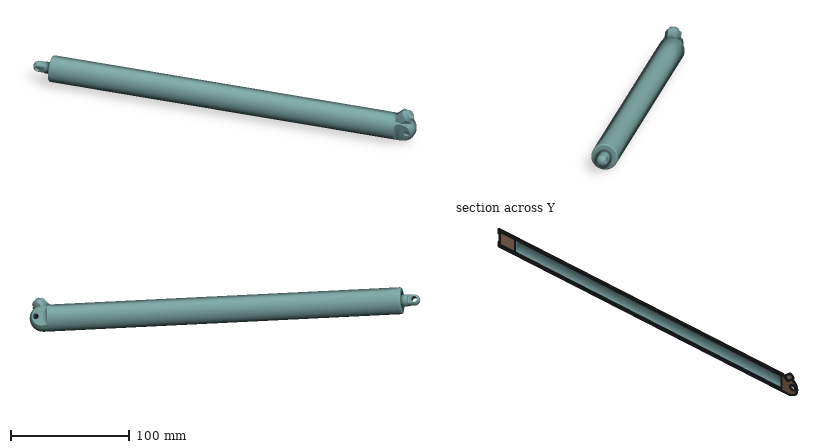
import cadquery as cq
import math

TOTAL_LENGTH = 336.0
BODY_DIAMETER = 23.0
BODY_RADIUS = BODY_DIAMETER / 2
GLAND_START = 15.5
TUBE_START = 17.5
TUBE_END = 317.2
TUBE_BORE = 18.0

GLAND_EDGE_RADIUS = 1.5
WIPER_DIAMETER = 18.0
WIPER_END = 16.8
WIPER_RECESS_DIAMETER = 14.0
WIPER_RECESS_DEPTH = 1.0
GLAND_END = 33.5

ROD_DIAMETER = 10.0
ROD_EYE_DIAMETER = 9.5
ROD_EYE_RADIUS = ROD_EYE_DIAMETER / 2
ROD_EYE_THICKNESS = 7.5
ROD_EYE_LENGTH = 10.5
CROSS_HOLE = 5.0

CAP_CENTRE_X = TOTAL_LENGTH - BODY_RADIUS
CAP_SHOULDER_X = 319.2
CAP_SHOULDER_FILLET = 2.5
CAP_EYE_THICKNESS = 15.8
CAP_HOLE_X = 329.5
CAP_SEAT_Z = 8.7

HEX_CORNERS = 14.0
HEX_LENGTH = 9.7
HEX_TOP_X = 329.0
HEX_TOP_Z = 13.0
NOSE_BASE_DIAMETER = 11.5
NOSE_TIP_DIAMETER = 8.0
NOSE_HEIGHT = 3.0


def x_cylinder(diameter, start, end):
    """Cylinder on the X axis between two stations."""
    return cq.Workplane("YZ", origin=(start, 0, 0)).circle(diameter / 2).extrude(end - start)


def y_cylinder(diameter, x):
    """Cross-hole cutter along Y, longer than the body is wide."""
    return cq.Workplane("XZ", origin=(x, 0, 0)).circle(diameter / 2).extrude(BODY_RADIUS, both=True)


def round_end(radius, centre_x, direction):
    """Hemisphere that ends a bar of the same radius, bulging along +X (1) or -X (-1)."""
    diagonal = radius * math.sqrt(0.5)
    return (
        cq.Workplane("XY", origin=(centre_x, 0, 0))
        .lineTo(direction * radius, 0)
        .threePointArc((direction * diagonal, diagonal), (0, radius))
        .close()
        .revolve(360, (0, 0), (1, 0))
    )


def make_tube():
    return x_cylinder(BODY_DIAMETER, TUBE_START, TUBE_END).cut(x_cylinder(TUBE_BORE, TUBE_START, TUBE_END))


def make_gland():
    """Flange over the tube end and a spigot in the tube bore, with a pocket for the wiper."""
    flange = x_cylinder(BODY_DIAMETER, GLAND_START, TUBE_START).faces("<X").edges().fillet(GLAND_EDGE_RADIUS)
    gland = flange.union(x_cylinder(TUBE_BORE, TUBE_START, GLAND_END))
    gland = gland.cut(x_cylinder(ROD_DIAMETER, GLAND_START, GLAND_END))
    return gland.cut(x_cylinder(WIPER_DIAMETER, GLAND_START, WIPER_END))


def make_wiper():
    """Ring flush with the gland face, slightly recessed around the rod."""
    wiper = x_cylinder(WIPER_DIAMETER, GLAND_START, WIPER_END)
    wiper = wiper.cut(x_cylinder(ROD_DIAMETER, GLAND_START, WIPER_END))
    return wiper.cut(x_cylinder(WIPER_RECESS_DIAMETER, GLAND_START, GLAND_START + WIPER_RECESS_DEPTH))


def make_rod():
    eye = x_cylinder(ROD_EYE_DIAMETER, ROD_EYE_RADIUS, ROD_EYE_LENGTH)
    eye = eye.union(round_end(ROD_EYE_RADIUS, ROD_EYE_RADIUS, -1))
    flats = cq.Workplane("XY").box(2 * ROD_EYE_LENGTH, ROD_EYE_THICKNESS, ROD_EYE_DIAMETER)
    eye = eye.intersect(flats).cut(y_cylinder(CROSS_HOLE, ROD_EYE_RADIUS))
    return eye.union(x_cylinder(ROD_DIAMETER, ROD_EYE_LENGTH, TUBE_END))


def make_fitting():
    """Hexagonal prism with a conical nose; two of its corners point along Y."""
    top = cq.Plane(origin=(HEX_TOP_X, 0, HEX_TOP_Z), xDir=(0, 1, 0), normal=(1, 0, 1))
    prism = cq.Workplane(top).polygon(6, HEX_CORNERS).extrude(-HEX_LENGTH)
    nose_profile = [
        (0, 0),
        (NOSE_BASE_DIAMETER / 2, 0),
        (NOSE_TIP_DIAMETER / 2, NOSE_HEIGHT),
        (0, NOSE_HEIGHT),
    ]
    axial = cq.Plane(origin=top.origin.toTuple(), xDir=(1, 0, -1), normal=(0, -1, 0))
    nose = cq.Workplane(axial).polyline(nose_profile).close().revolve(360, (0, 0), (0, 1))
    return prism.union(nose)


def make_cap(fitting):
    cap = x_cylinder(BODY_DIAMETER, TUBE_END, CAP_CENTRE_X)
    cap = cap.union(round_end(BODY_RADIUS, CAP_CENTRE_X, 1))
    half_eye = CAP_EYE_THICKNESS / 2
    for side in (1, -1):
        waste = (
            cq.Workplane("XY")
            .moveTo(CAP_SHOULDER_X, side * BODY_RADIUS)
            .lineTo(CAP_SHOULDER_X, side * (half_eye + CAP_SHOULDER_FILLET))
            .radiusArc((CAP_SHOULDER_X + CAP_SHOULDER_FILLET, side * half_eye), -side * CAP_SHOULDER_FILLET)
            .lineTo(TOTAL_LENGTH, side * half_eye)
            .lineTo(TOTAL_LENGTH, side * BODY_RADIUS)
            .close()
            .extrude(BODY_RADIUS, both=True)
        )
        cap = cap.cut(waste)
    seat = cq.Workplane("XY").box(BODY_DIAMETER, BODY_DIAMETER, BODY_RADIUS, centered=(False, True, False))
    cap = cap.cut(seat.translate((CAP_SHOULDER_X, 0, CAP_SEAT_Z)))
    return cap.cut(y_cylinder(CROSS_HOLE, CAP_HOLE_X)).cut(fitting)


tube = make_tube()
gland = make_gland()
wiper = make_wiper()
rod = make_rod()
fitting = make_fitting()
cap = make_cap(fitting)

result = cq.Compound.makeCompound([body.solids().val() for body in (tube, gland, wiper, rod, fitting, cap)])